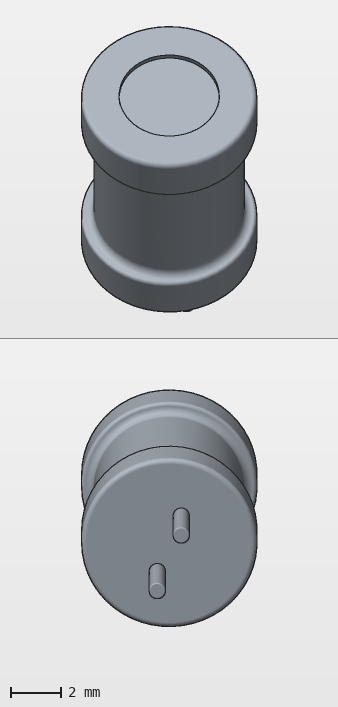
import cadquery as cq

total_height = 12.8
body_height = 10.0
pin_length = total_height - body_height

flange_diameter = 7.0
core_diameter = 6.0
flange_height = 2.0
outer_edge_radius = 0.2
inner_edge_radius = 0.15
flange_overhang = (flange_diameter - core_diameter) / 2
core_fillet_radius = flange_overhang - inner_edge_radius

recess_diameter = 4.0
recess_depth = 0.2

pin_diameter = 0.65
pin_spacing = 2.5
pin_edge_radius = 0.05


def make_flange(base_z, outer_edges, inner_edges):
    """Disc with a larger rounding on its outer face than on its core-side face."""
    return (
        cq.Workplane("XY", origin=(0, 0, base_z))
        .circle(flange_diameter / 2)
        .extrude(flange_height)
        .edges(outer_edges)
        .fillet(outer_edge_radius)
        .edges(inner_edges)
        .fillet(inner_edge_radius)
    )


def make_core():
    """Waist between the flanges, flaring with a concave fillet at both ends."""
    core_radius = core_diameter / 2
    flare_radius = core_radius + core_fillet_radius
    bottom = pin_length + flange_height
    top = total_height - flange_height
    return (
        cq.Workplane("XZ")
        .moveTo(0, bottom)
        .lineTo(flare_radius, bottom)
        .radiusArc((core_radius, bottom + core_fillet_radius), core_fillet_radius)
        .lineTo(core_radius, top - core_fillet_radius)
        .radiusArc((flare_radius, top), core_fillet_radius)
        .lineTo(0, top)
        .close()
        .revolve(360, (0, 0, 0), (0, 1, 0))
    )


def make_pins():
    """Two round pins along X, with slightly rounded free ends."""
    return (
        cq.Workplane("XY")
        .pushPoints([(-pin_spacing / 2, 0), (pin_spacing / 2, 0)])
        .circle(pin_diameter / 2)
        .extrude(pin_length)
        .edges("<Z")
        .fillet(pin_edge_radius)
    )


def make_recess():
    return (
        cq.Workplane("XY", origin=(0, 0, total_height - recess_depth))
        .circle(recess_diameter / 2)
        .extrude(recess_depth)
    )


bottom_flange = make_flange(pin_length, "<Z", ">Z")
top_flange = make_flange(total_height - flange_height, ">Z", "<Z")

result = (
    make_core()
    .union(bottom_flange)
    .union(top_flange)
    .union(make_pins())
    .cut(make_recess())
)